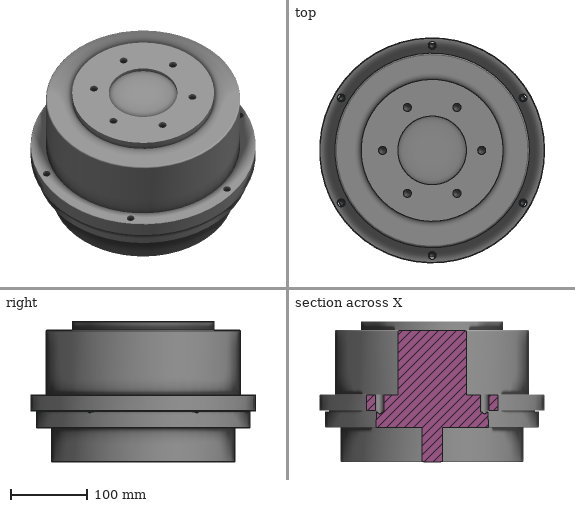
import math

import cadquery as cq

LOWER_DIAMETER = 240.0
RIM_DIAMETER = 280.0
GROOVE_DIAMETER = 270.0
FLANGE_DIAMETER = 295.0
BODY_DIAMETER = 255.0
HUB_DIAMETER = 186.0

LOWER_HEIGHT = 45.0
RIM_HEIGHT = 21.0
GROOVE_WIDTH = 1.0
FLANGE_HEIGHT = 21.0
BODY_HEIGHT = 85.0
HUB_HEIGHT = 11.0

EDGE_CHAMFER = 0.5
BODY_FILLET = 2.0

RECESS_DIAMETER = 90.0
RECESS_DEPTH = 5.0

HOLE_COUNT = 6
DRILL_TIP_ANGLE = 118.0

HUB_HOLE_DIAMETER = 10.5
HUB_HOLE_CIRCLE = 130.0
HUB_HOLE_DEPTH = 20.0
HUB_HOLE_START_ANGLE = 0.0

FLANGE_HOLE_DIAMETER = 10.0
FLANGE_HOLE_CIRCLE = 275.0
FLANGE_HOLE_START_ANGLE = 90.0

SPOT_DIAMETER = 7.0
SPOT_DEPTH = 0.5

RIM_TOP = LOWER_HEIGHT + RIM_HEIGHT
FLANGE_BOTTOM = RIM_TOP + GROOVE_WIDTH
FLANGE_TOP = FLANGE_BOTTOM + FLANGE_HEIGHT
BODY_TOP = FLANGE_TOP + BODY_HEIGHT
HUB_TOP = BODY_TOP + HUB_HEIGHT


def disc(diameter, bottom, height):
    """Solid cylinder on the Z axis."""
    return cq.Workplane("XY").workplane(offset=bottom).circle(diameter / 2).extrude(height)


def drilled_hole(diameter, top, depth):
    """Blind hole cutter on the Z axis: straight down to `depth`, then a conical tip."""
    radius = diameter / 2
    tip_length = radius / math.tan(math.radians(DRILL_TIP_ANGLE / 2))
    half_profile = (
        cq.Workplane("XZ")
        .moveTo(0, top)
        .lineTo(radius, top)
        .lineTo(radius, top - depth)
        .lineTo(0, top - depth - tip_length)
        .close()
    )
    return half_profile.revolve(360, (0, 0, 0), (0, 1, 0))


def cut_on_circle(body, cutter, circle_diameter, start_angle):
    """Cut evenly spaced copies of an on-axis cutter around a bolt circle."""
    offset_cutter = cutter.translate((circle_diameter / 2, 0, 0))
    for index in range(HOLE_COUNT):
        angle = start_angle + index * 360 / HOLE_COUNT
        body = body.cut(offset_cutter.rotate((0, 0, 0), (0, 0, 1), angle))
    return body


def stepped_body():
    """Coaxial steps stacked along Z, with their outer edges broken."""
    lower = disc(LOWER_DIAMETER, 0, LOWER_HEIGHT).edges("<Z").chamfer(EDGE_CHAMFER)
    rim = disc(RIM_DIAMETER, LOWER_HEIGHT, RIM_HEIGHT).edges("<Z").chamfer(EDGE_CHAMFER)
    groove_core = disc(GROOVE_DIAMETER, RIM_TOP, GROOVE_WIDTH)
    flange = disc(FLANGE_DIAMETER, FLANGE_BOTTOM, FLANGE_HEIGHT).edges("<Z or >Z").chamfer(EDGE_CHAMFER)
    barrel = disc(BODY_DIAMETER, FLANGE_TOP, BODY_HEIGHT).edges(">Z").fillet(BODY_FILLET)
    hub = disc(HUB_DIAMETER, BODY_TOP, HUB_HEIGHT)
    return lower.union(rim).union(groove_core).union(flange).union(barrel).union(hub)


def cut_recess(body):
    """Sink the round recess into the hub face."""
    return body.cut(disc(RECESS_DIAMETER, HUB_TOP - RECESS_DEPTH, RECESS_DEPTH))


def cut_hub_holes(body):
    """Drill the blind holes into the hub face."""
    cutter = drilled_hole(HUB_HOLE_DIAMETER, HUB_TOP, HUB_HOLE_DEPTH)
    return cut_on_circle(body, cutter, HUB_HOLE_CIRCLE, HUB_HOLE_START_ANGLE)


def cut_flange_holes(body):
    """Drill through the flange down to the rim, and spot the rim below."""
    clearance = disc(FLANGE_HOLE_DIAMETER, RIM_TOP, FLANGE_TOP - RIM_TOP)
    spot = drilled_hole(SPOT_DIAMETER, RIM_TOP, SPOT_DEPTH)
    return cut_on_circle(body, clearance.union(spot), FLANGE_HOLE_CIRCLE, FLANGE_HOLE_START_ANGLE)


result = stepped_body()
result = cut_recess(result)
result = cut_hub_holes(result)
result = cut_flange_holes(result)